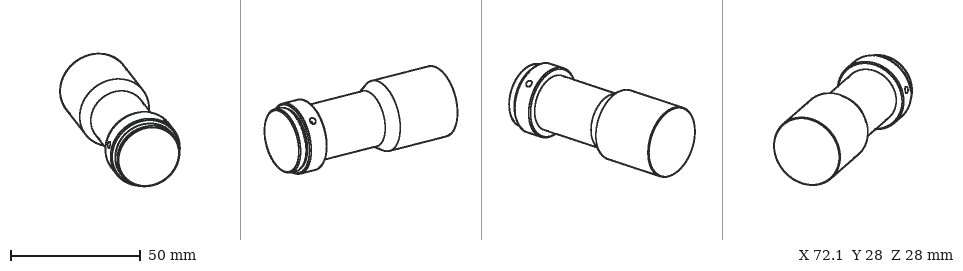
import cadquery as cq
import math

length = 72.1
head_end = 26.6
taper_end = 31.6
collar_start = 60.05
collar_end = 68.05
groove_end = 69.1

head_radius = 14.0
neck_radius = 11.0
groove_radius = 12.05
rim_radius = 12.6

head_chamfer = 0.3
collar_chamfer = 0.5
rim_chamfer = 0.5

hole_count = 3
hole_diameter = 2.5
hole_depth = 2.9
drill_point_angle = 118.0
hole_first_angle = 46.0
hole_x = (collar_start + collar_end) / 2


def turned_body():
    """Revolve the stepped half profile about the X axis."""
    profile = [
        (0, 0),
        (0, head_radius - head_chamfer),
        (head_chamfer, head_radius),
        (head_end, head_radius),
        (taper_end, neck_radius),
        (collar_start, neck_radius),
        (collar_start, head_radius - collar_chamfer),
        (collar_start + collar_chamfer, head_radius),
        (collar_end - collar_chamfer, head_radius),
        (collar_end, head_radius - collar_chamfer),
        (collar_end, groove_radius),
        (groove_end, groove_radius),
        (groove_end, rim_radius),
        (length - rim_chamfer, rim_radius),
        (length, rim_radius - rim_chamfer),
        (length, 0),
    ]
    return cq.Workplane("XY").polyline(profile).close().revolve(360, (0, 0, 0), (1, 0, 0))


def screw_hole(angle):
    """Blind radial hole cutter with a conical drill point, entering the collar at the given angle."""
    turn = math.radians(angle)
    outward = cq.Vector(0, math.cos(turn), math.sin(turn))
    shoulder = cq.Vector(hole_x, 0, 0) + outward * (head_radius - hole_depth)
    hole_radius = hole_diameter / 2
    point_depth = hole_radius / math.tan(math.radians(drill_point_angle / 2))
    bore = cq.Solid.makeCylinder(hole_radius, 2 * hole_depth, shoulder, outward)
    point = cq.Solid.makeCone(hole_radius, 0, point_depth, shoulder, outward * -1)
    return cq.Workplane(bore).union(cq.Workplane(point))


result = turned_body()
for index in range(hole_count):
    result = result.cut(screw_hole(hole_first_angle + index * 360 / hole_count))